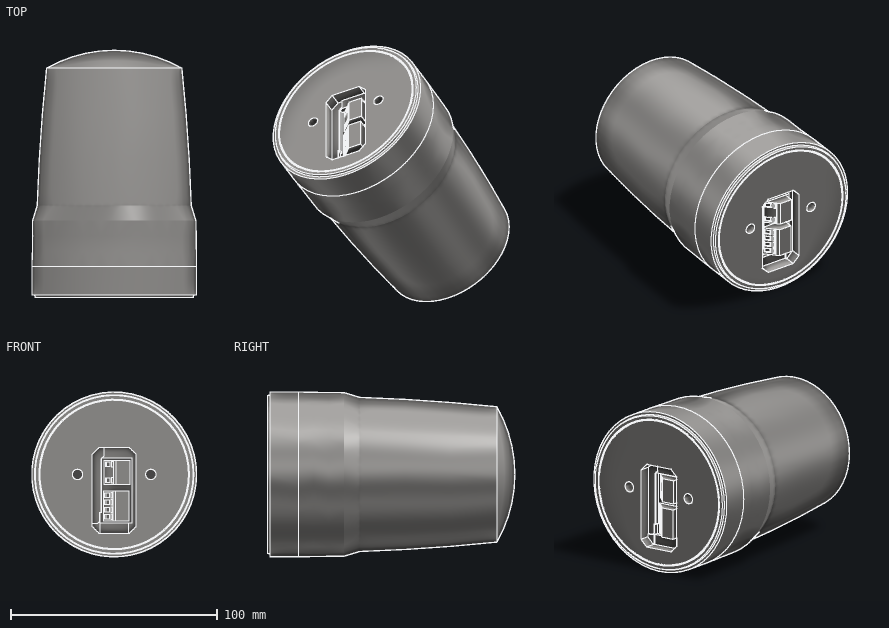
import cadquery as cq


total_length = 120.0
base_diameter = 80.0
base_radius = base_diameter / 2
base_length = 15.1

foot_height = 1.2
foot_root_radius = 38.6
foot_tip_radius = 38.3
groove_outer_radius = 36.5
groove_inner_radius = 36.0
groove_depth = 1.2

skirt_top_radius = 39.7
skirt_top = 37.2
flare_top_radius = 37.5
flare_top = 44.6
crown_radius = 32.9
crown_start = 111.2
wall_mid_radius = 35.8

hole_radius = 2.5
hole_offset = 17.8
hole_depth = 9.6

pocket_width = 21.4
pocket_top = 13.1
pocket_bottom = -28.5
pocket_chamfer = 3.4
pocket_depth = 5.5
floor_step = 0.7
channel_half_width = 6.8

well_left = -6.1
well_low_left = -6.8
well_right = 8.6
well_top = 7.9
well_bottom = -23.5
well_depth = 8.2

left_floor_top_edge = -4.9
left_floor_edge = -6.4
left_floor_low_edge = -7.1
left_floor_jog = -18.4
left_floor_bottom = -23.8
left_floor_bevel = 1.0

connector_front = 1.8
connector_width = 12.5
connector_flat_width = 6.6
upper_left = -4.9
upper_top = 6.8
upper_bottom = -4.8
lower_left = -5.3
lower_top = -7.9
lower_bottom = -22.7

terminal_pitch = 3.5
lower_terminals = 4
upper_terminal_heights = (5.0, -2.9)
entry_inset = 0.6
entry_flat_width = 0.6
entry_sloped_width = 1.8
entry_height = 2.2
entry_recess = 1.2
clamp_depth = 4.2
clamp_inset = 2.6
clamp_width = 1.9
clamp_height = 2.6
terminal_face_width = 4.7
terminal_face_step = 0.2


def block(left, right, bottom, top, front, back):
    """Box given by its limits along X, Z and Y."""
    return cq.Workplane("XY").box(
        right - left, back - front, top - bottom, centered=False
    ).translate((left, front, bottom))


def make_lens():
    wall_middle = (flare_top + crown_start) / 2
    crown_height = total_length - crown_start
    sphere_radius = (crown_radius**2 + crown_height**2) / (2 * crown_height)
    mid_sag = crown_height / 2
    crown_mid_radius = (2 * sphere_radius * mid_sag - mid_sag**2) ** 0.5
    return (
        cq.Workplane("XY")
        .moveTo(0, base_length)
        .lineTo(base_radius, base_length)
        .lineTo(skirt_top_radius, skirt_top)
        .lineTo(flare_top_radius, flare_top)
        .threePointArc((wall_mid_radius, wall_middle), (crown_radius, crown_start))
        .threePointArc((crown_mid_radius, total_length - mid_sag), (0, total_length))
        .close()
        .revolve(360, (0, 0, 0), (0, 1, 0))
    )


def make_base_blank():
    return (
        cq.Workplane("XY")
        .moveTo(0, 0)
        .lineTo(groove_inner_radius, 0)
        .lineTo(groove_inner_radius, groove_depth)
        .lineTo(groove_outer_radius, groove_depth)
        .lineTo(groove_outer_radius, 0)
        .lineTo(foot_tip_radius, 0)
        .lineTo(foot_root_radius, foot_height)
        .lineTo(base_radius, foot_height)
        .lineTo(base_radius, base_length)
        .lineTo(0, base_length)
        .close()
        .revolve(360, (0, 0, 0), (0, 1, 0))
    )


def make_mounting_holes():
    return (
        cq.Workplane("XZ")
        .pushPoints([(-hole_offset, 0), (hole_offset, 0)])
        .circle(hole_radius)
        .extrude(-hole_depth)
    )


def make_pocket_outline(depth):
    half_width = pocket_width / 2
    return block(
        -half_width, half_width, pocket_bottom, pocket_top, 0, depth
    ).edges("|Y").chamfer(pocket_chamfer)


def make_left_floor():
    left = -pocket_width / 2
    return (
        cq.Workplane("XZ")
        .moveTo(left, pocket_top)
        .lineTo(left_floor_top_edge, pocket_top)
        .lineTo(left_floor_top_edge, well_top + left_floor_bevel)
        .lineTo(left_floor_edge, well_top - left_floor_bevel / 2)
        .lineTo(left_floor_edge, left_floor_jog)
        .lineTo(left_floor_low_edge, left_floor_jog)
        .lineTo(left_floor_low_edge, left_floor_bottom + left_floor_bevel)
        .lineTo(left_floor_low_edge - left_floor_bevel, left_floor_bottom)
        .lineTo(left, left_floor_bottom)
        .close()
        .extrude(-(pocket_depth + floor_step))
    )


def make_pocket():
    step_depth = pocket_depth + floor_step
    channel = block(
        -channel_half_width, channel_half_width, pocket_bottom, well_bottom, 0, step_depth
    )
    steps = make_pocket_outline(step_depth).intersect(make_left_floor().union(channel))
    well = block(well_left, well_right, well_bottom, well_top, 0, well_depth)
    well_corner = block(well_low_left, well_left, well_bottom, left_floor_jog, 0, well_depth)
    return make_pocket_outline(pocket_depth).union(steps).union(well).union(well_corner)


def extrude_upward(points, bottom, top):
    """Prism with an outline in X and Y, standing between two heights."""
    return cq.Workplane("XY").polyline(points).close().extrude(top - bottom).translate((0, 0, bottom))


def slope_depth(left, x):
    """Depth of the 45 degree face of a connector whose left side is at left."""
    flat_left = left + connector_width - connector_flat_width
    return connector_front + flat_left - x


def make_terminal(left, height):
    """Tool that cuts one terminal: a wire entry and, to its right, a clamp notch."""
    entry_left = left + entry_inset
    entry_middle = entry_left + entry_flat_width
    entry_right = entry_middle + entry_sloped_width
    floor_left_depth = slope_depth(left, entry_middle) + entry_recess
    floor_right_depth = slope_depth(left, entry_right) + entry_recess
    entry = extrude_upward(
        [
            (entry_left, connector_front),
            (entry_right, connector_front),
            (entry_right, floor_right_depth),
            (entry_middle, floor_left_depth),
            (entry_left, floor_left_depth),
        ],
        height - entry_height / 2,
        height + entry_height / 2,
    )
    clamp_left = left + clamp_inset
    clamp = block(
        clamp_left, clamp_left + clamp_width,
        height - clamp_height / 2, height + clamp_height / 2,
        connector_front, clamp_depth,
    )
    return entry.union(clamp)


def make_connector(left, bottom, top, terminal_heights):
    right = left + connector_width
    flat_left = right - connector_flat_width
    face_right = left + terminal_face_width
    step_depth = slope_depth(left, face_right)
    body = extrude_upward(
        [
            (right, well_depth),
            (right, connector_front),
            (flat_left, connector_front),
            (face_right, step_depth),
            (face_right, step_depth + terminal_face_step),
            (left, slope_depth(left, left) + terminal_face_step),
            (left, well_depth),
        ],
        bottom,
        top,
    )
    for height in terminal_heights:
        body = body.cut(make_terminal(left, height))
    return body


def make_base():
    lower_middle = (lower_top + lower_bottom) / 2
    lower_heights = [
        lower_middle + terminal_pitch * (i - (lower_terminals - 1) / 2)
        for i in range(lower_terminals)
    ]
    upper_connector = make_connector(upper_left, upper_bottom, upper_top, upper_terminal_heights)
    lower_connector = make_connector(lower_left, lower_bottom, lower_top, lower_heights)
    return (
        make_base_blank()
        .cut(make_mounting_holes())
        .cut(make_pocket())
        .union(upper_connector)
        .union(lower_connector)
    )


lens = make_lens()
base = make_base()

result = cq.Compound.makeCompound([*lens.solids().vals(), *base.solids().vals()])